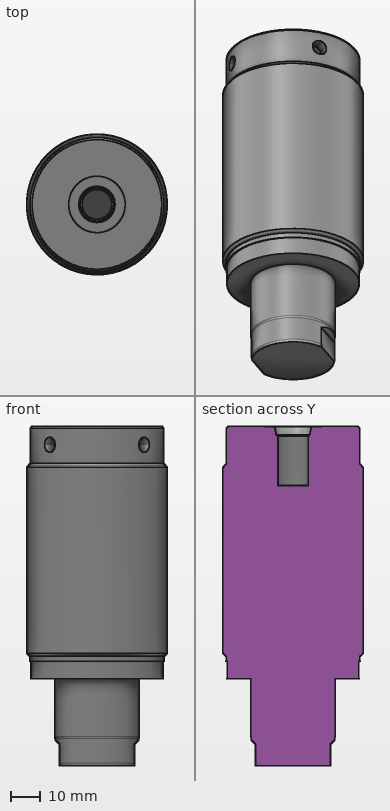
import cadquery as cq
import math

total_height = 114.3
body_radius = 47.37 / 2

shaft_chamfer_base = 9.2
collar_bottom = 29.2
collar_top = 35.1
body_bottom = 36.8
cap_bottom = total_height - 12.5

tip_radius = 14.1
shaft_radius = 14.3
collar_radius = 22.3
neck_radius = 22.6
cap_radius = 22.5
shoulder_radius = 23.0

tip_chamfer_radial = 0.28
tip_chamfer_height = 1.0
shaft_chamfer_height = 0.7
shoulder_height = 0.7
top_bevel_height = 0.7
bottom_bevel_height = 0.35
cap_chamfer = 0.7

flat_distance = 12.65
flat_height = 7.25

recess_radius = 9.5
recess_depth = 0.2
mouth_radius = 6.1
mouth_floor_radius = 5.6
mouth_depth = 2.7
bore_radius = 5.0
bore_depth = 20.0
bore_chamfer_height = 0.6

spanner_hole_count = 4
spanner_hole_diameter = 5.0
spanner_hole_depth = 4.6
spanner_hole_drop = 6.3
spanner_hole_first_angle = 45.0

cutter_overrun = 1.0


def turned_body():
    """Solid of revolution carrying every outside step of the part."""
    shaft_chamfer_top = shaft_chamfer_base + shaft_chamfer_height
    profile = [
        (0, 0),
        (tip_radius - tip_chamfer_radial, 0),
        (tip_radius, tip_chamfer_height),
        (tip_radius, shaft_chamfer_base),
        (shaft_radius, shaft_chamfer_top),
        (shaft_radius, collar_bottom),
        (collar_radius, collar_bottom),
        (collar_radius, collar_top),
        (neck_radius, collar_top),
        (neck_radius, body_bottom),
        (shoulder_radius, body_bottom + bottom_bevel_height),
        (body_radius, body_bottom + bottom_bevel_height + shoulder_height),
        (body_radius, cap_bottom - top_bevel_height - shoulder_height),
        (shoulder_radius, cap_bottom - top_bevel_height),
        (cap_radius, cap_bottom),
        (cap_radius, total_height - cap_chamfer),
        (cap_radius - cap_chamfer, total_height),
        (0, total_height),
    ]
    return cq.Workplane("XZ").polyline(profile).close().revolve(360, (0, 0), (0, 1))


def wrench_flat_cutter(side):
    """Block beyond one flat, ending in a 45 degree run-out; side is -1 or 1."""
    outer = shaft_radius + cutter_overrun
    runout = outer - flat_distance
    outline = [
        (side * flat_distance, 0),
        (side * outer, 0),
        (side * outer, flat_height + runout),
        (side * flat_distance, flat_height),
    ]
    return cq.Workplane("XZ").polyline(outline).close().extrude(shaft_radius, both=True)


def top_bore_cutter():
    """Recess, tapered mouth and chamfered blind bore along the axis."""
    recess_floor = total_height - recess_depth
    mouth_floor = recess_floor - mouth_depth
    bore_floor = total_height - bore_depth
    profile = [
        (0, total_height),
        (recess_radius, total_height),
        (recess_radius, recess_floor),
        (mouth_radius, recess_floor),
        (mouth_floor_radius, mouth_floor),
        (bore_radius, mouth_floor - bore_chamfer_height),
        (bore_radius, bore_floor),
        (0, bore_floor),
    ]
    return cq.Workplane("XZ").polyline(profile).close().revolve(360, (0, 0), (0, 1))


def spanner_hole_cutter(angle):
    """Blind radial hole entering the cap at the given angle about Z."""
    angle_rad = math.radians(angle)
    direction = cq.Vector(math.cos(angle_rad), math.sin(angle_rad), 0)
    hole_level = cq.Vector(0, 0, total_height - spanner_hole_drop)
    start = hole_level + direction * (cap_radius - spanner_hole_depth)
    length = spanner_hole_depth + cutter_overrun
    return cq.Solid.makeCylinder(spanner_hole_diameter / 2, length, start, direction)


result = turned_body().cut(top_bore_cutter())

for side in (-1, 1):
    result = result.cut(wrench_flat_cutter(side))

for index in range(spanner_hole_count):
    angle = spanner_hole_first_angle + index * 360 / spanner_hole_count
    result = result.cut(spanner_hole_cutter(angle))